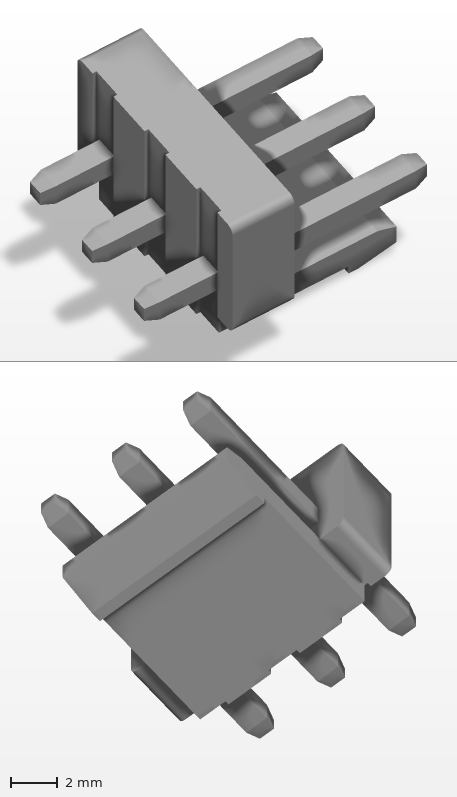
import cadquery as cq


row_width = 11.83
middle_width = 3.91
pin_pitch = 3.95

wall_height = 6.8
wall_depth = 3.2
corner_radius = 0.4

groove_width = 1.59
groove_depth = 0.2

shelf_width = 9.15
shelf_thickness = 1.35
overall_height = 8.6
hook_drop = overall_height - wall_height - shelf_thickness
shelf_length = 9.37
hook_step_y = 6.89
hook_ramp_y = 7.42
nose_bevel_length = 0.98
nose_bevel_drop = 0.34

pin_size = 1.14
pin_tip_size = 0.77
pin_tip_length = 0.69
pin_length = 14.6
pin_front_reach = 3.5
pin_axis_depth = 4.8
pin_z = wall_height - pin_axis_depth


def x_slab(x_start, x_end, depth, z_bottom, z_top):
    """Box between two X positions, running back from the front face."""
    return cq.Workplane("XY").box(
        x_end - x_start, depth, z_top - z_bottom, centered=False
    ).translate((x_start, 0, z_bottom))


def make_wall(x_start, x_end, outer_edges):
    """Upright wall, with its outer end corners rounded where there are any."""
    wall = x_slab(x_start, x_end, wall_depth, 0, wall_height)
    if outer_edges:
        wall = wall.faces(outer_edges).edges("|Y").fillet(corner_radius)
    return wall


def make_latch(x_start, x_end):
    """Shelf with a bevelled nose and a downward hook."""
    shelf_bottom = -shelf_thickness
    hook_bottom = shelf_bottom - hook_drop
    profile = [
        (0, 0),
        (shelf_length - nose_bevel_length, 0),
        (shelf_length, -nose_bevel_drop),
        (shelf_length, shelf_bottom),
        (hook_ramp_y, hook_bottom),
        (hook_step_y, hook_bottom),
        (hook_step_y, shelf_bottom),
        (0, shelf_bottom),
    ]
    latch = cq.Workplane("YZ").polyline(profile).close().extrude(x_end - x_start)
    return latch.translate((x_start, 0, 0))


def make_groove(pin_x):
    """Cutter for the groove over the full height of the front face."""
    half_width = groove_width / 2
    return x_slab(pin_x - half_width, pin_x + half_width, groove_depth, -shelf_thickness, wall_height)


def make_pin(pin_x):
    """Square bar along Y, centred on the pin axis and tapered at both ends."""
    shank_length = pin_length - 2 * pin_tip_length
    shank_middle_y = pin_length / 2 - pin_front_reach
    shank = cq.Workplane("XY").box(pin_size, shank_length, pin_size)
    pin = shank
    for end_face in ("<Y", ">Y"):
        tip = (
            shank.faces(end_face).workplane()
            .rect(pin_size, pin_size)
            .workplane(offset=pin_tip_length)
            .rect(pin_tip_size, pin_tip_size)
            .loft(combine=False)
        )
        pin = pin.union(tip)
    return pin.translate((pin_x, shank_middle_y, pin_z))


def make_segment(wall_span, latch_span, pin_x, outer_edges=None):
    """One header segment: grooved wall, latch and pin in a single solid."""
    moulding = make_wall(*wall_span, outer_edges).union(make_latch(*latch_span))
    return moulding.cut(make_groove(pin_x)).union(make_pin(pin_x)).solids()


joint_x = middle_width / 2
wall_end_x = row_width / 2
latch_end_x = shelf_width / 2

left_segment = make_segment((-wall_end_x, -joint_x), (-latch_end_x, -joint_x), -pin_pitch, "<X")
middle_segment = make_segment((-joint_x, joint_x), (-joint_x, joint_x), 0)
right_segment = make_segment((joint_x, wall_end_x), (joint_x, latch_end_x), pin_pitch, ">X")

result = cq.Compound.makeCompound([left_segment.val(), middle_segment.val(), right_segment.val()])